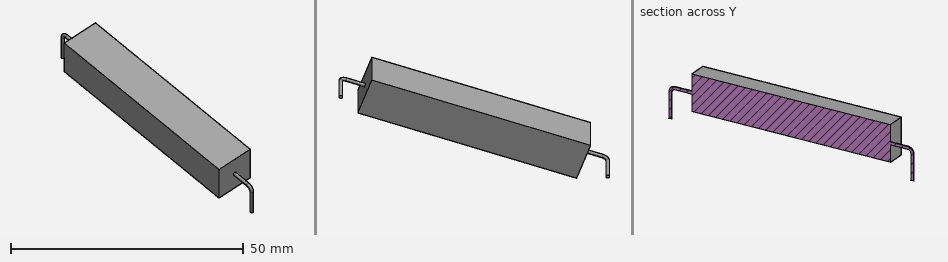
import cadquery as cq

body_length = 50.0
body_side = 9.0

lead_diameter = 0.8
lead_pitch = 60.96
lead_drop = 3.0
bend_radius = 1.2

axis_height = body_side / 2
lead_x = lead_pitch / 2
embed_depth = 1.0


def make_body():
    return cq.Workplane("XY").box(body_length, body_side, body_side, centered=(True, True, False))


def make_right_lead():
    """Round wire leaving the +X end face and turning down through 90 degrees."""
    start_x = body_length / 2 - embed_depth
    bend_start_x = lead_x - bend_radius
    bend_end_z = axis_height - bend_radius
    path = (
        cq.Workplane("XZ")
        .moveTo(start_x, axis_height)
        .lineTo(bend_start_x, axis_height)
        .radiusArc((lead_x, bend_end_z), bend_radius)
        .lineTo(lead_x, -lead_drop)
    )
    profile = cq.Workplane("YZ", origin=(start_x, 0, axis_height)).circle(lead_diameter / 2)
    return profile.sweep(path)


right_lead = make_right_lead()
left_lead = right_lead.mirror("YZ")
result = make_body().union(right_lead).union(left_lead)